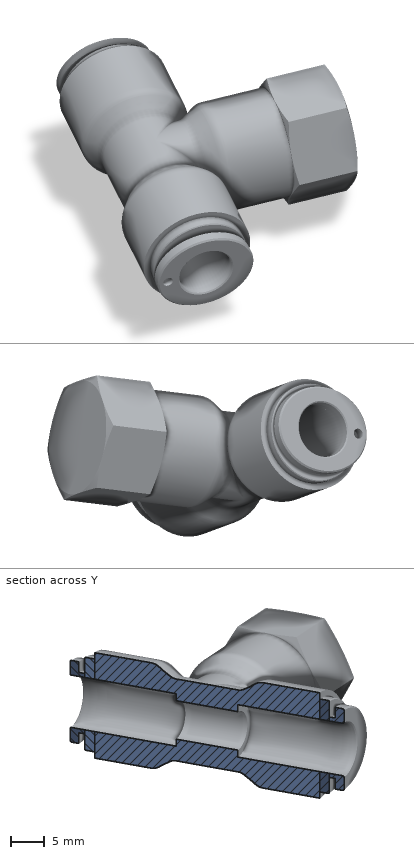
import cadquery as cq
import math


OVERALL_LENGTH = 45.7
OVERALL_DEPTH = 37.1
ARM_LENGTH = 18.8

ARM_RADIUS = 16.7 / 2
NECK_RADIUS = 6.5
NECK_HALF_LENGTH = 5.15
FLARE_ANGLE = 32.0
NECK_BLEND_RADIUS = 1.9
SHOULDER_RADIUS = 2.25

TUBE_BORE = 8.2
THROUGH_BORE = 6.0
TUBE_STOP = NECK_HALF_LENGTH

COLLAR_DIAMETER = 14.7
COLLAR_LENGTH = 1.6
COLLAR_CHAMFER = 0.15

SLEEVE_NECK_DIAMETER = 9.6
FLANGE_WIDTH = 15.0
FLANGE_HEIGHT = 12.95
FLANGE_THICKNESS = 1.55
FLANGE_CHAMFER = 0.25
MOUTH_DIAMETER = 8.55
MARK_HOLE_DIAMETER = 1.5
MARK_HOLE_OFFSET = 5.95

HEX_ACROSS_FLATS = 17.0
HEX_LENGTH = OVERALL_DEPTH - ARM_RADIUS - ARM_LENGTH
HEX_CORNER_CHAMFER = 0.45

SLEEVE_START = ARM_LENGTH + COLLAR_LENGTH
SLEEVE_END = OVERALL_LENGTH / 2
FLANGE_START = SLEEVE_END - FLANGE_THICKNESS


def x_cylinder(diameter, start, end):
    """Round bar along X from start to end."""
    return cq.Workplane("YZ").workplane(offset=start).circle(diameter / 2).extrude(end - start)


def arc_offset(radius, turn):
    """Axial run and radial rise of an arc that leaves the axial direction and bends by turn."""
    return radius * math.sin(turn), radius * (1 - math.cos(turn))


def make_arm():
    """One arm along +X: plain neck, concave blend, cone, rounded shoulder, straight end."""
    angle = math.radians(FLARE_ANGLE)
    blend_mid = arc_offset(NECK_BLEND_RADIUS, angle / 2)
    blend_end = arc_offset(NECK_BLEND_RADIUS, angle)
    shoulder_mid = arc_offset(SHOULDER_RADIUS, angle / 2)
    shoulder_end = arc_offset(SHOULDER_RADIUS, angle)

    cone_rise = ARM_RADIUS - NECK_RADIUS - blend_end[1] - shoulder_end[1]
    cone_start_x = NECK_HALF_LENGTH + blend_end[0]
    cone_end_x = cone_start_x + cone_rise / math.tan(angle)
    shoulder_x = cone_end_x + shoulder_end[0]

    profile = (
        cq.Workplane("XY")
        .lineTo(0, NECK_RADIUS)
        .lineTo(NECK_HALF_LENGTH, NECK_RADIUS)
        .threePointArc(
            (NECK_HALF_LENGTH + blend_mid[0], NECK_RADIUS + blend_mid[1]),
            (cone_start_x, NECK_RADIUS + blend_end[1]),
        )
        .lineTo(cone_end_x, ARM_RADIUS - shoulder_end[1])
        .threePointArc(
            (shoulder_x - shoulder_mid[0], ARM_RADIUS - shoulder_mid[1]),
            (shoulder_x, ARM_RADIUS),
        )
        .lineTo(ARM_LENGTH, ARM_RADIUS)
        .lineTo(ARM_LENGTH, 0)
        .close()
    )
    return profile.revolve(360, (0, 0, 0), (1, 0, 0))


def make_housing():
    """Tee body with a stepped bore through both tube arms."""
    arm = make_arm()
    housing = arm
    for turn in (90, 180):
        housing = housing.union(arm.rotate((0, 0, 0), (0, 0, 1), turn))
    housing = housing.cut(x_cylinder(THROUGH_BORE, -ARM_LENGTH, ARM_LENGTH))
    tube_socket = x_cylinder(TUBE_BORE, TUBE_STOP, ARM_LENGTH)
    return housing.cut(tube_socket).cut(tube_socket.mirror("YZ"))


def make_collar():
    """Ring on the end face of the +X arm."""
    ring = x_cylinder(COLLAR_DIAMETER, ARM_LENGTH, SLEEVE_START)
    ring = ring.faces(">X").edges().chamfer(COLLAR_CHAMFER)
    return ring.cut(x_cylinder(TUBE_BORE, ARM_LENGTH, SLEEVE_START))


def make_sleeve():
    """Release sleeve of the +X arm: round neck and oval flange with a marking hole."""
    flange = (
        cq.Workplane("YZ")
        .workplane(offset=FLANGE_START)
        .ellipse(FLANGE_WIDTH / 2, FLANGE_HEIGHT / 2)
        .extrude(FLANGE_THICKNESS)
        .faces(">X")
        .edges()
        .chamfer(FLANGE_CHAMFER)
    )
    mark_hole = x_cylinder(MARK_HOLE_DIAMETER, FLANGE_START, SLEEVE_END)
    mark_hole = mark_hole.translate((0, -MARK_HOLE_OFFSET, 0))
    sleeve = x_cylinder(SLEEVE_NECK_DIAMETER, SLEEVE_START, FLANGE_START).union(flange)
    sleeve = sleeve.cut(x_cylinder(TUBE_BORE, SLEEVE_START, SLEEVE_END)).cut(mark_hole)
    mouth_chamfer = (MOUTH_DIAMETER - TUBE_BORE) / 2
    largest_circle = cq.selectors.RadiusNthSelector(-1)
    return sleeve.faces(">X").edges("%CIRCLE").edges(largest_circle).chamfer(mouth_chamfer)


def make_hex_end():
    """Hexagon on the end of the +Y arm, flats facing up and down, corners chamfered."""
    across_corners = HEX_ACROSS_FLATS / math.cos(math.pi / 6)
    flat_radius = HEX_ACROSS_FLATS / 2
    corner_radius = across_corners / 2
    hexagon_end = ARM_LENGTH + HEX_LENGTH
    hexagon = (
        cq.Workplane("XZ", origin=(0, ARM_LENGTH, 0))
        .polygon(6, across_corners)
        .extrude(-HEX_LENGTH)
    )
    chamfer_envelope = (
        cq.Workplane("XY")
        .moveTo(0, ARM_LENGTH)
        .lineTo(flat_radius, ARM_LENGTH)
        .lineTo(corner_radius, ARM_LENGTH + HEX_CORNER_CHAMFER)
        .lineTo(corner_radius, hexagon_end - HEX_CORNER_CHAMFER)
        .lineTo(flat_radius, hexagon_end)
        .lineTo(0, hexagon_end)
        .close()
        .revolve(360, (0, 0, 0), (0, 1, 0))
    )
    return hexagon.intersect(chamfer_envelope)


housing = make_housing()
hex_end = make_hex_end()

end_fittings = []
for fitting in (make_collar(), make_sleeve()):
    end_fittings.append(fitting.val())
    end_fittings.append(fitting.mirror("YZ").val())

result = cq.Compound.makeCompound([housing.val(), hex_end.val(), *end_fittings])